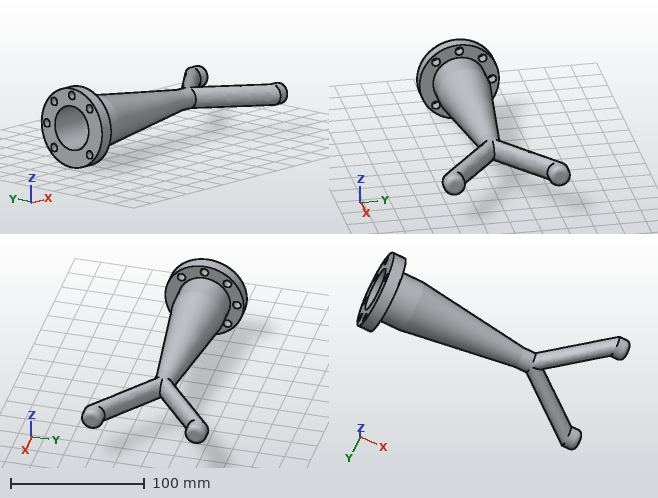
import cadquery as cq
import math

total_length = 190.0
flange_thickness = 10.0
barrel_end = 30.0
cone_end = 120.0
neck_end = 130.0
arm_end = 179.9

flange_radius = 60.5 / 2
barrel_radius = 20.0
neck_radius = 8.0
wall = 3.0
arm_span = 96.0
arm_offset = arm_span / 2 - neck_radius
tip_fillet = 4.0

hole_diameter = 6.0
hole_circle_radius = 25.0
hole_angles = (0, 45, 90, 135, 225, 315)


def make_body():
    """Flange, barrel, cone and neck revolved about X."""
    profile = [
        (0, 0),
        (0, flange_radius),
        (flange_thickness, flange_radius),
        (flange_thickness, barrel_radius),
        (barrel_end, barrel_radius),
        (cone_end, neck_radius),
        (neck_end, neck_radius),
        (neck_end, 0),
    ]
    return cq.Workplane("XY").polyline(profile).close().revolve(360, (0, 0, 0), (1, 0, 0))


def make_bore():
    """Straight bore followed by a taper with a flat end where the neck starts."""
    profile = [
        (0, 0),
        (0, barrel_radius - wall),
        (barrel_end, barrel_radius - wall),
        (cone_end, neck_radius - wall),
        (cone_end, 0),
    ]
    return cq.Workplane("XY").polyline(profile).close().revolve(360, (0, 0, 0), (1, 0, 0))


def make_arm(side):
    """Oblique round arm with a straight, rounded tip; side is +1 or -1 along Y."""
    arm = (
        cq.Workplane("YZ", origin=(neck_end, 0, 0))
        .circle(neck_radius)
        .workplane(offset=arm_end - neck_end)
        .center(side * arm_offset, 0)
        .circle(neck_radius)
        .loft(ruled=True)
    )
    tip = (
        cq.Workplane("YZ", origin=(arm_end, side * arm_offset, 0))
        .circle(neck_radius)
        .extrude(total_length - arm_end)
        .faces(">X")
        .edges()
        .fillet(tip_fillet)
    )
    return arm.union(tip)


def make_flange_holes():
    """Holes through the flange on one pitch circle."""
    centers = [
        (
            hole_circle_radius * math.cos(math.radians(angle)),
            hole_circle_radius * math.sin(math.radians(angle)),
        )
        for angle in hole_angles
    ]
    return cq.Workplane("YZ").pushPoints(centers).circle(hole_diameter / 2).extrude(flange_thickness)


result = make_body()
for side in (1, -1):
    result = result.union(make_arm(side))
result = result.cut(make_bore()).cut(make_flange_holes())